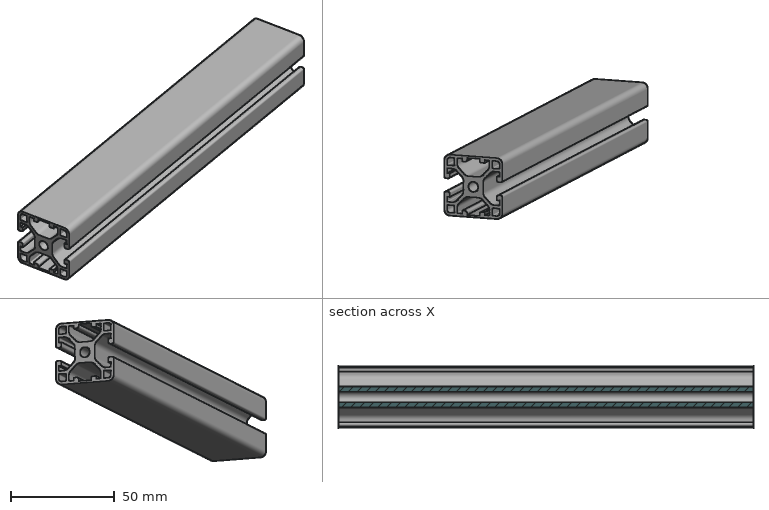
import cadquery as cq
import math

length = 200.0
side = 30.0
half_side = side / 2
corner_radius = 3.0

outer_wall = 1.5
groove_skin = 1.0
lip_thickness = 2.9
web_thickness = 1.9

slot_half_width = 3.2
lip_back_half_width = 5.8
groove_half_width = 8.25
groove_floor = 5.1
groove_ceiling = half_side - outer_wall
lip_inner_face = half_side - lip_thickness
skin_inner_face = half_side - groove_skin

floor_fillet = 3.0
shoulder_fillet = 3.0
pocket_fillet = 0.5
lip_fillet = 1.0

chamber_near = 9.75
chamber_far = half_side - outer_wall
chamber_outer_radius = corner_radius - outer_wall
chamber_inner_radius = 0.5

bore_diameter = 5.0

closed_groove_angles = (0, 180)
open_groove_angles = (90, 270)
chamber_angles = (0, 90, 180, 270)


def section():
    """Sketch plane at the -Y end, with local x along X and local y along Z."""
    return cq.Workplane("XZ", origin=(0, -length / 2, 0))


def prism(outline):
    """Run a closed outline along the full length of the bar."""
    return outline.extrude(-length)


def cut_turned(body, cutter, angles):
    """Cut one copy of the cutter, turned about the Y axis, for each angle."""
    for angle in angles:
        body = body.cut(cutter.rotate((0, 0, 0), (0, 1, 0), angle))
    return body


def half_groove_inside():
    """Open outline of the +X half of the +Z groove, from its floor round to the lip tip."""
    flank_offset = web_thickness / math.sqrt(2)
    floor_corner = groove_floor - flank_offset
    shoulder_corner = groove_half_width + flank_offset

    tangent_ratio = math.tan(math.radians(45 / 2))
    floor_tangent = floor_fillet * tangent_ratio
    shoulder_tangent = shoulder_fillet * tangent_ratio
    floor_rise = floor_tangent / math.sqrt(2)
    shoulder_drop = shoulder_tangent / math.sqrt(2)

    return (
        section()
        .moveTo(0, groove_floor)
        .lineTo(floor_corner - floor_tangent, groove_floor)
        .tangentArcPoint((floor_corner + floor_rise, groove_floor + floor_rise), relative=False)
        .lineTo(groove_half_width - shoulder_drop, shoulder_corner - shoulder_drop)
        .tangentArcPoint((groove_half_width, shoulder_corner + shoulder_tangent), relative=False)
        .lineTo(groove_half_width, groove_ceiling - pocket_fillet)
        .tangentArcPoint((-pocket_fillet, pocket_fillet))
        .lineTo(lip_back_half_width, groove_ceiling)
        .lineTo(lip_back_half_width, lip_inner_face)
        .lineTo(slot_half_width + lip_fillet, lip_inner_face)
        .tangentArcPoint((-lip_fillet, lip_fillet))
    )


def both_halves(half_outline):
    half = prism(half_outline)
    return half.union(half.mirror("YZ")).clean()


def closed_groove():
    """Groove facing +Z that stops below a thin outer skin."""
    outline = (
        half_groove_inside()
        .lineTo(slot_half_width, skin_inner_face)
        .lineTo(0, skin_inner_face)
        .close()
    )
    return both_halves(outline)


def open_groove():
    """Groove facing +Z whose slot flares out through the outer face."""
    outline = (
        half_groove_inside()
        .lineTo(slot_half_width, half_side - lip_fillet)
        .tangentArcPoint((lip_fillet, lip_fillet))
        .lineTo(0, half_side)
        .close()
    )
    return both_halves(outline)


def corner_chamber():
    """Square hollow in the +X +Z corner, its outermost corner following the rounded edge of the bar."""
    size = chamber_far - chamber_near
    centre = (chamber_far + chamber_near) / 2
    outermost_edge = "|Y and >X and >Z"
    other_edges = "|Y and (<X or <Z)"
    chamber = prism(section().center(centre, centre).rect(size, size))
    chamber = chamber.edges(other_edges).fillet(chamber_inner_radius)
    return chamber.edges(outermost_edge).fillet(chamber_outer_radius)


def bar():
    body = prism(section().rect(side, side)).edges("|Y").fillet(corner_radius)
    body = cut_turned(body, closed_groove(), closed_groove_angles)
    body = cut_turned(body, open_groove(), open_groove_angles)
    body = cut_turned(body, corner_chamber(), chamber_angles)
    return body.cut(prism(section().circle(bore_diameter / 2)))


result = bar()